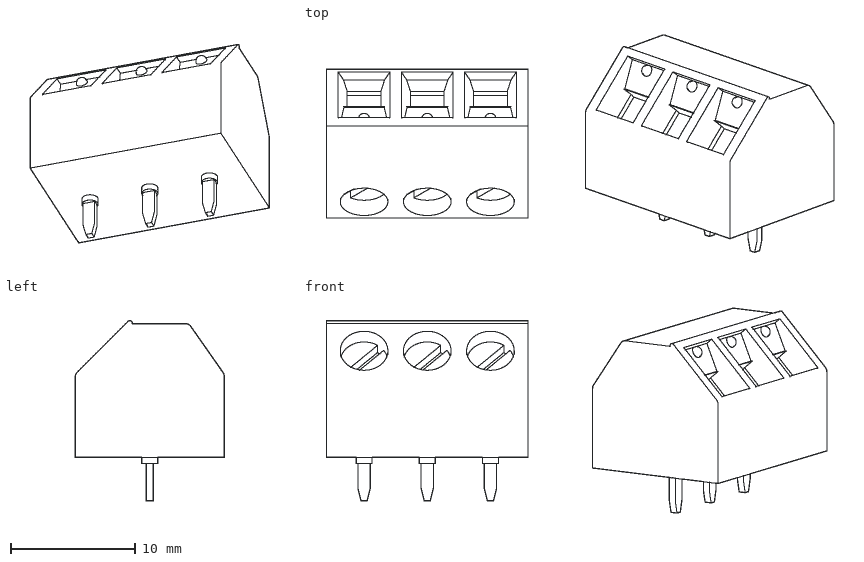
import cadquery as cq
import math

length = 16.24
depth = 12.0
roof_height = 10.77
shoulder_height = 6.69
front_tilt = math.radians(55)
half_diagonal = math.sqrt(0.5)
edge_radius = 0.5
ridge_top = 11.01
ridge_radius = 0.2

pole_count = 3
pole_pitch = 5.08
pole_positions = [(i - (pole_count - 1) / 2) * pole_pitch for i in range(pole_count)]

well_diameter = 3.83
well_depth = 1.5
well_height = 8.57
slot_width = 0.7
slot_depth = 1.0
slot_angle = 45

mouth_width = 4.15
throat_width = 2.71
mouth_upper_y = 2.11
mouth_lower_y = 5.75
lower_wall_depth = 1.1
lower_wall_y = 5.13
throat_depth = 1.88
throat_y = 4.2
entry_depth = 2.34
upper_wall_depth = 0.49
ledge_depth = 1.19
ledge_y = 2.9
ledge_width = 0.1
dome_radius = 0.45
dome_y = 1.98

collar_diameter = 1.3
collar_height = 0.5
pin_width = 1.0
pin_thickness = 0.58
pin_length = 3.49
pin_taper_length = 1.0
pin_tip_width = 0.5

front_y = -depth / 2
back_y = depth / 2
slope_sum = back_y + shoulder_height


def make_housing():
    """Extrude the side profile along X and round its long edges."""
    roof_front_y = front_y + (roof_height - shoulder_height) / math.tan(front_tilt)
    ridge_z = ridge_top - ridge_radius
    ridge_y = slope_sum - ridge_z - ridge_radius / half_diagonal
    tangent_offset = ridge_radius * half_diagonal
    ridge_foot_y = ridge_y - math.sqrt(ridge_radius**2 - (ridge_z - roof_height) ** 2)

    housing = (
        cq.Workplane("YZ")
        .moveTo(front_y, 0)
        .lineTo(back_y, 0)
        .lineTo(back_y, shoulder_height)
        .lineTo(ridge_y + tangent_offset, ridge_z + tangent_offset)
        .threePointArc((ridge_y, ridge_top), (ridge_foot_y, roof_height))
        .lineTo(roof_front_y, roof_height)
        .lineTo(front_y, shoulder_height)
        .close()
        .extrude(length / 2, both=True)
    )
    rounded_edges = [
        (front_y, shoulder_height),
        (roof_front_y, roof_height),
        (back_y, shoulder_height),
    ]
    for y, z in rounded_edges:
        housing = housing.edges(cq.NearestToPointSelector((0, y, z))).fillet(edge_radius)
    return housing


def make_screw_well(x):
    """Round well square to the front slope, with a diagonal driver slot in its floor."""
    well_y = front_y + (well_height - shoulder_height) / math.tan(front_tilt)
    outward = cq.Vector(0, -math.sin(front_tilt), math.cos(front_tilt))
    plane = cq.Plane(origin=(x, well_y, well_height), xDir=(1, 0, 0), normal=outward)
    total_depth = well_depth + slot_depth

    well = cq.Workplane(plane).circle(well_diameter / 2).extrude(-well_depth)
    slot = (
        cq.Workplane(plane)
        .transformed(rotate=(0, 0, slot_angle))
        .rect(well_diameter, slot_width)
        .extrude(-total_depth)
    )
    slot = slot.intersect(cq.Workplane(plane).circle(well_diameter / 2).extrude(-total_depth))
    return well.union(slot)


def at_depth(y, inward):
    """Return the (Y, Z) point at the given Y and depth below the wire face."""
    return (y, slope_sum - y - inward / half_diagonal)


def straight_in(point, inward):
    """Carry a (Y, Z) point square to the wire face until it lies at the given depth."""
    depth_now = (slope_sum - point[0] - point[1]) * half_diagonal
    step = (inward - depth_now) * half_diagonal
    return (point[0] - step, point[1] - step)


def make_wire_entry(x):
    """Funnel-shaped wire entry that narrows into a straight throat."""
    mouth_upper = at_depth(mouth_upper_y, 0)
    mouth_lower = at_depth(mouth_lower_y, 0)
    throat_lower = at_depth(throat_y, throat_depth)
    ledge_inner = at_depth(ledge_y, ledge_depth)
    ledge_tip = (ledge_inner[0] + ledge_width, ledge_inner[1])
    upper_wall_start = straight_in(mouth_upper, upper_wall_depth)

    profile = (
        cq.Workplane("YZ")
        .polyline(
            [
                mouth_upper,
                mouth_lower,
                at_depth(lower_wall_y, lower_wall_depth),
                throat_lower,
                straight_in(throat_lower, entry_depth),
                straight_in(ledge_tip, entry_depth),
                ledge_tip,
                ledge_inner,
                upper_wall_start,
            ]
        )
        .close()
        .extrude(mouth_width / 2, both=True)
    )

    down_slope = cq.Vector(0, half_diagonal, -half_diagonal)
    side_plane = cq.Plane(origin=(0, back_y, shoulder_height), xDir=(1, 0, 0), normal=down_slope)
    sides = (
        cq.Workplane(side_plane)
        .polyline(
            [
                (-mouth_width / 2, 0),
                (mouth_width / 2, 0),
                (throat_width / 2, throat_depth),
                (throat_width / 2, entry_depth),
                (-throat_width / 2, entry_depth),
                (-throat_width / 2, throat_depth),
            ]
        )
        .close()
        .extrude(depth, both=True)
    )

    wall_run = (ledge_inner[1] - upper_wall_start[1]) / (ledge_inner[0] - upper_wall_start[0])
    dome_z = upper_wall_start[1] + wall_run * (dome_y - upper_wall_start[0])
    dome = cq.Workplane("XY").sphere(dome_radius).translate((0, dome_y, dome_z))
    return profile.intersect(sides).cut(dome).translate((x, 0, 0))


def make_pin(x):
    """Round collar under the housing with a flat pin that narrows to its tip."""
    collar = cq.Workplane("XY").circle(collar_diameter / 2).extrude(-collar_height)
    taper_start = pin_taper_length - pin_length
    blade = (
        cq.Workplane("XZ")
        .polyline(
            [
                (-pin_width / 2, 0),
                (pin_width / 2, 0),
                (pin_width / 2, taper_start),
                (pin_tip_width / 2, -pin_length),
                (-pin_tip_width / 2, -pin_length),
                (-pin_width / 2, taper_start),
            ]
        )
        .close()
        .extrude(pin_thickness / 2, both=True)
    )
    return collar.union(blade).translate((x, 0, 0))


result = make_housing()
for pole_x in pole_positions:
    result = result.cut(make_screw_well(pole_x))
    result = result.cut(make_wire_entry(pole_x))
    result = result.union(make_pin(pole_x))